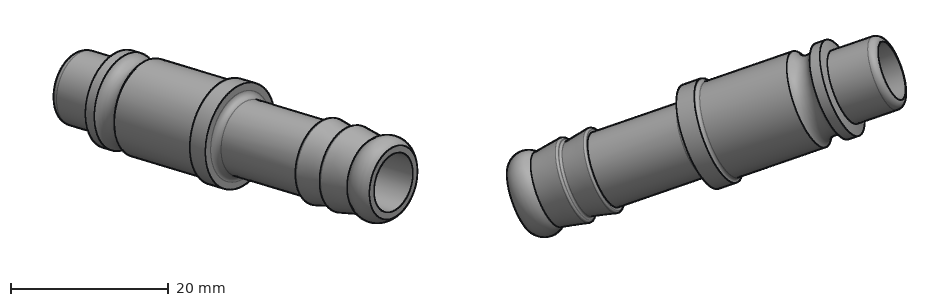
import cadquery as cq
import math


bore_radius = 7.8 / 2
nose_radius = 9.9 / 2
body_radius = 12.9 / 2
groove_floor_radius = 5.4
flange_radius = 14.0 / 2
stem_radius = 10.1 / 2
barb_radius = 5.7
bulb_end_radius = 4.85

nose_end = 6.65
collar_start = 6.95
groove_start = 8.4
groove_end = 11.65
flange_start = 24.45
flange_end = 27.0
first_barb_start = 40.45
second_barb_start = 44.4
bulb_start = 48.5
length = 52.0

nose_round = 1.0
flange_fillet = 0.45
stem_fillet = 0.95
barb_crest_round = 0.3
barb_root_fillet = 0.3


def point_on_circle(center_x, center_r, radius, angle):
    """Point on a circle at the given angle in degrees."""
    a = math.radians(angle)
    return (center_x + radius * math.cos(a), center_r + radius * math.sin(a))


def add_barb(profile, start, end):
    """Square rise to a rounded crest, then a long taper back to the stem radius."""
    round_center = (start + barb_crest_round, barb_radius - barb_crest_round)
    return (
        profile
        .lineTo(start, barb_radius - barb_crest_round)
        .threePointArc(
            point_on_circle(*round_center, barb_crest_round, 135),
            (start + barb_crest_round, barb_radius),
        )
        .lineTo(end, stem_radius)
    )


profile = (
    cq.Workplane("XY")
    .moveTo(0, bore_radius)
    .lineTo(0, nose_radius - nose_round)
    .threePointArc(
        point_on_circle(nose_round, nose_radius - nose_round, nose_round, 135),
        (nose_round, nose_radius),
    )
    .lineTo(nose_end, nose_radius)
    .lineTo(collar_start, body_radius)
)

profile = (
    profile
    .lineTo(groove_start, body_radius)
    .threePointArc(
        ((groove_start + groove_end) / 2, groove_floor_radius),
        (groove_end, body_radius),
    )
)

profile = (
    profile
    .lineTo(flange_start - flange_fillet, body_radius)
    .threePointArc(
        point_on_circle(flange_start - flange_fillet, body_radius + flange_fillet, flange_fillet, -45),
        (flange_start, body_radius + flange_fillet),
    )
    .lineTo(flange_start, flange_radius)
    .lineTo(flange_end, flange_radius)
)

profile = (
    profile
    .lineTo(flange_end, stem_radius + stem_fillet)
    .threePointArc(
        point_on_circle(flange_end + stem_fillet, stem_radius + stem_fillet, stem_fillet, 225),
        (flange_end + stem_fillet, stem_radius),
    )
)

root_start = second_barb_start - barb_root_fillet
profile = profile.lineTo(first_barb_start, stem_radius)
profile = add_barb(profile, first_barb_start, root_start)
profile = profile.threePointArc(
    point_on_circle(root_start, stem_radius + barb_root_fillet, barb_root_fillet, -45),
    (second_barb_start, stem_radius + barb_root_fillet),
)
profile = add_barb(profile, second_barb_start, bulb_start)

profile = (
    profile
    .threePointArc(((bulb_start + length) / 2, barb_radius), (length, bulb_end_radius))
    .lineTo(length, bore_radius)
    .close()
)

result = profile.revolve(360, (0, 0, 0), (1, 0, 0))